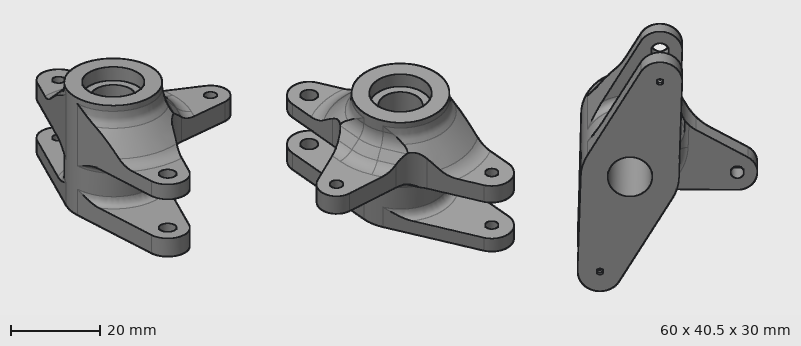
import cadquery as cq
import math

HUB_RADIUS = 11.0
HUB_HEIGHT = 30.0
BORE_DIAMETER = 10.0
SEAT_DIAMETER = 14.0
SEAT_DEPTH = 3.5

LUG_REACH = 25.0
SIDE_END_RADIUS = 5.0
BACK_END_RADIUS = 4.5
CORNER_RADIUS = 7.0

SIDE_TOP = 18.5
LEFT_GAP = (3.7, 13.8)
RIGHT_GAP = (4.7, 14.7)
BACK_BOTTOM = 14.9
BACK_TOP = 19.9

GAP_FILLET = 2.0
SIDE_CHAMFER = 8.0
BACK_CHAMFER = 5.0
CHAMFER_ANGLE = 45.0
BLEND_RADIUS = 5.0
BLEND_SETBACK = BLEND_RADIUS * math.tan(math.radians(CHAMFER_ANGLE / 2))
BLEND_STEP = BLEND_SETBACK * math.cos(math.radians(CHAMFER_ANGLE))

LEFT_PIN_DIAMETER = 3.0
RIGHT_PIN_DIAMETER = 4.0
BACK_HOLE_DIAMETER = 3.0
KNOCKOUT_DIAMETER = 1.5
PIN_FLOOR = 1.0

CLEAR_RADIUS = LUG_REACH + 2 * SIDE_END_RADIUS
BACK_TRIM_RADIUS = 16.0
ROOT_OVERLAP = 2.0


def polar(radius, angle):
    """Point at an angle from +X towards +Y."""
    return (radius * math.cos(angle), radius * math.sin(angle))


def flank_taper(end_radius):
    """Angle between the axis of a lug and its flanks, tangent to hub and end circle."""
    return math.asin((HUB_RADIUS - end_radius) / LUG_REACH)


def tapered_lug(end_radius):
    """Full-height prism of a lug along +X: hub circle and end circle joined by their flanks."""
    normal = math.pi / 2 - flank_taper(end_radius)
    root_x, root_y = polar(HUB_RADIUS, normal)
    offset_x, end_y = polar(end_radius, normal)
    end_x = LUG_REACH + offset_x
    return (
        cq.Workplane("XY")
        .moveTo(root_x, -root_y)
        .lineTo(end_x, -end_y)
        .threePointArc((LUG_REACH + end_radius, 0), (end_x, end_y))
        .lineTo(root_x, root_y)
        .threePointArc((-HUB_RADIUS, 0), (root_x, -root_y))
        .close()
        .extrude(HUB_HEIGHT)
    )


def chamfer_blend(outline, wall, foot, chamfer):
    """Continue an outline down a wall, along a rounded 45 degree chamfer, to a foot plane."""
    top = foot + chamfer
    toe = wall + chamfer
    return (
        outline.lineTo(wall, top + BLEND_SETBACK)
        .tangentArcPoint((wall + BLEND_STEP, top - BLEND_STEP), relative=False)
        .lineTo(toe - BLEND_STEP, foot + BLEND_STEP)
        .tangentArcPoint((toe + BLEND_SETBACK, foot), relative=False)
    )


def space_above_side_lugs():
    """Ring of empty space around the hub above the side lugs."""
    outline = cq.Workplane("XZ").moveTo(HUB_RADIUS, HUB_HEIGHT)
    outline = chamfer_blend(outline, HUB_RADIUS, SIDE_TOP, SIDE_CHAMFER)
    return (
        outline.lineTo(CLEAR_RADIUS, SIDE_TOP)
        .lineTo(CLEAR_RADIUS, HUB_HEIGHT)
        .close()
        .revolve(360, (0, 0), (0, 1))
    )


def slot_between_lugs(gap, start_angle):
    """Half ring of empty space between an upper and a lower side lug."""
    low, high = gap
    fillet_edge = HUB_RADIUS + GAP_FILLET
    return (
        cq.Workplane("XZ")
        .moveTo(CLEAR_RADIUS, high)
        .lineTo(fillet_edge, high)
        .tangentArcPoint((HUB_RADIUS, high - GAP_FILLET), relative=False)
        .lineTo(HUB_RADIUS, low + GAP_FILLET)
        .tangentArcPoint((fillet_edge, low), relative=False)
        .lineTo(CLEAR_RADIUS, low)
        .close()
        .revolve(180, (0, 0), (0, 1))
        .rotate((0, 0, 0), (0, 0, 1), start_angle)
    )


def back_section(plane, wall, inner):
    """Section of the back lug, running outwards from a wall of the side-lug outline."""
    root_top = BACK_TOP + BACK_CHAMFER + BLEND_SETBACK + ROOT_OVERLAP
    outer = wall + LUG_REACH
    outline = cq.Workplane(plane).moveTo(inner, root_top).lineTo(wall, root_top)
    outline = chamfer_blend(outline, wall, BACK_TOP, BACK_CHAMFER)
    return (
        outline.lineTo(outer, BACK_TOP)
        .lineTo(outer, BACK_BOTTOM)
        .lineTo(wall + GAP_FILLET, BACK_BOTTOM)
        .tangentArcPoint((wall, BACK_BOTTOM - GAP_FILLET), relative=False)
        .lineTo(inner, BACK_BOTTOM - GAP_FILLET)
        .close()
    )


def back_prism():
    """Full-height prism of the back lug along +Y, with rounded corners towards the side lugs."""
    lug = tapered_lug(BACK_END_RADIUS).rotate((0, 0, 0), (0, 0, 1), 90)
    side_normal = math.pi / 2 - flank_taper(SIDE_END_RADIUS)
    back_normal = flank_taper(BACK_END_RADIUS)
    bisector = (side_normal + back_normal) / 2
    half_turn = (side_normal - back_normal) / 2
    reach = (HUB_RADIUS + CORNER_RADIUS) / math.cos(half_turn)
    centre = cq.Vector(*polar(reach, bisector))
    directions = (side_normal, bisector, back_normal)
    arc = [centre - cq.Vector(*polar(CORNER_RADIUS, angle)) for angle in directions]
    gusset = (
        cq.Workplane("XY")
        .lineTo(arc[0].x, arc[0].y)
        .threePointArc((arc[1].x, arc[1].y), (arc[2].x, arc[2].y))
        .close()
        .extrude(HUB_HEIGHT)
    )
    return lug.union(gusset).union(gusset.mirror("YZ"))


def back_lug(side_space, slots):
    """Back lug whose root follows the hub and the rear flanks of the side lugs."""
    body = back_section("XZ", HUB_RADIUS, 0).revolve(360, (0, 0), (0, 1))
    flank_normal = math.pi / 2 - flank_taper(SIDE_END_RADIUS)
    across = (*polar(1, flank_normal), 0)
    along = (*polar(1, flank_normal - math.pi / 2), 0)
    flank_plane = cq.Plane(origin=(0, 0, 0), xDir=across, normal=along)
    strip = back_section(flank_plane, HUB_RADIUS, HUB_RADIUS - ROOT_OVERLAP).extrude(LUG_REACH)
    body = body.union(strip).union(strip.mirror("YZ"))
    body = body.intersect(back_prism())
    root = cq.Workplane("XY").circle(BACK_TRIM_RADIUS).extrude(HUB_HEIGHT)
    body = body.cut(side_space.intersect(root))
    for slot in slots:
        body = body.cut(slot)
    return body


def side_lugs(side_space, slots):
    """Hub with the two pairs of side lugs."""
    right = tapered_lug(SIDE_END_RADIUS)
    body = right.union(right.mirror("YZ")).cut(side_space)
    for slot in slots:
        body = body.cut(slot)
    return body


def hole(x, y, diameter, bottom=0):
    """Vertical hole from a bottom level up through the top of the part."""
    base = cq.Workplane("XY", origin=(x, y, bottom))
    return base.circle(diameter / 2).extrude(HUB_HEIGHT - bottom)


above_sides = space_above_side_lugs()
side_slots = [slot_between_lugs(LEFT_GAP, 90), slot_between_lugs(RIGHT_GAP, -90)]
holes = [
    hole(0, 0, BORE_DIAMETER),
    hole(0, 0, SEAT_DIAMETER, HUB_HEIGHT - SEAT_DEPTH),
    hole(0, LUG_REACH, BACK_HOLE_DIAMETER),
    hole(-LUG_REACH, 0, KNOCKOUT_DIAMETER),
    hole(-LUG_REACH, 0, LEFT_PIN_DIAMETER, PIN_FLOOR),
    hole(LUG_REACH, 0, KNOCKOUT_DIAMETER),
    hole(LUG_REACH, 0, RIGHT_PIN_DIAMETER, PIN_FLOOR),
]

result = side_lugs(above_sides, side_slots).union(back_lug(above_sides, side_slots))
for cutter in holes:
    result = result.cut(cutter)